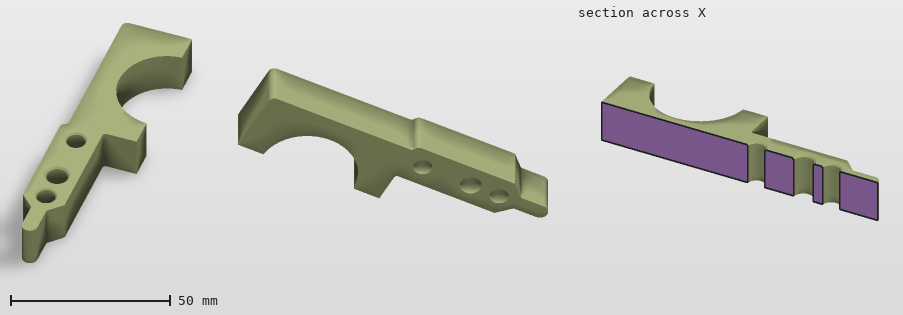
import cadquery as cq
import math

total_width = 25.0
total_length = 99.75
thickness = 14

shoulder_y = 49.9
head_left = 2.1
head_corner_radius = 2
bore_radius = 16
bore_x = 25.9
bore_y = (shoulder_y + total_length) / 2

arm_width = 14
arm_middle = arm_width / 2
inner_corner_radius = 1
step_outer_radius = 2
step_inner_radius = 1
taper_start_y = 15
tongue_width = 5.1
tongue_radius = tongue_width / 2
tongue_left = arm_middle - tongue_radius
tongue_right = arm_middle + tongue_radius
taper_end_y = taper_start_y - tongue_left

small_hole_diameter = 6
large_hole_diameter = 6.8
small_hole_chamfer = 0.5
large_hole_chamfer = 0.65
arm_holes = [
    (43.9, small_hole_diameter, small_hole_chamfer),
    (26.9, large_hole_diameter, large_hole_chamfer),
    (17, small_hole_diameter, small_hole_chamfer),
]


def make_body():
    """Extrude the outline; an S of two tangent arcs joins the arm to the head on the left."""
    radius_sum = step_outer_radius + step_inner_radius
    turn = math.acos((radius_sum - head_left) / radius_sum)
    step_start_y = shoulder_y - step_outer_radius
    step_end_y = step_start_y + radius_sum * math.sin(turn)

    def outer_arc_point(angle):
        return (step_outer_radius * (1 - math.cos(angle)), step_start_y + step_outer_radius * math.sin(angle))

    def inner_arc_point(angle):
        return (
            head_left - step_inner_radius * (1 - math.cos(angle)),
            step_end_y - step_inner_radius * math.sin(angle),
        )

    body = (
        cq.Workplane("XY")
        .moveTo(tongue_left, tongue_radius)
        .lineTo(tongue_left, taper_end_y)
        .lineTo(0, taper_start_y)
        .lineTo(0, step_start_y)
        .threePointArc(outer_arc_point(turn / 2), outer_arc_point(turn))
        .threePointArc(inner_arc_point(turn / 2), (head_left, step_end_y))
        .lineTo(head_left, total_length)
        .lineTo(total_width, total_length)
        .lineTo(total_width, shoulder_y)
        .lineTo(arm_width, shoulder_y)
        .lineTo(arm_width, taper_start_y)
        .lineTo(tongue_right, taper_end_y)
        .lineTo(tongue_right, tongue_radius)
        .threePointArc((arm_middle, 0), (tongue_left, tongue_radius))
        .close()
        .extrude(thickness)
    )
    head_corner = cq.NearestToPointSelector((head_left, total_length, thickness / 2))
    inner_corner = cq.NearestToPointSelector((arm_width, shoulder_y, thickness / 2))
    body = body.edges(head_corner).fillet(head_corner_radius)
    return body.edges(inner_corner).fillet(inner_corner_radius)


def cut_bore(body):
    bore = cq.Workplane("XY").center(bore_x, bore_y).circle(bore_radius).extrude(thickness)
    return body.cut(bore)


def cut_arm_hole(body, hole_y, diameter, chamfer):
    """Cut a through hole with a 45 degree chamfer around its upper rim."""
    hole_radius = diameter / 2
    cutter = (
        cq.Workplane("XZ", origin=(arm_middle, hole_y, 0))
        .lineTo(hole_radius, 0)
        .lineTo(hole_radius, thickness - chamfer)
        .lineTo(hole_radius + chamfer, thickness)
        .lineTo(0, thickness)
        .close()
        .revolve(360, (0, 0, 0), (0, 1, 0))
    )
    return body.cut(cutter)


result = cut_bore(make_body())
for hole_y, diameter, chamfer in arm_holes:
    result = cut_arm_hole(result, hole_y, diameter, chamfer)